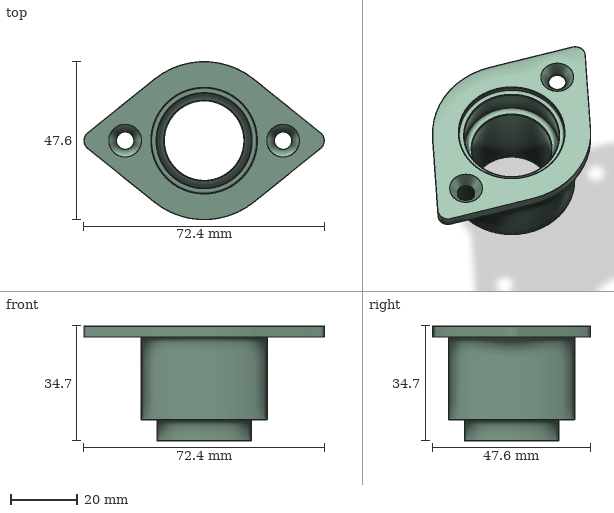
import cadquery as cq
import math

flange_length = 72.4
flange_width = 47.6
flange_thickness = 3.3
tip_radius = 3.05

total_height = 34.7
body_diameter = 38.1
spigot_diameter = 28.5
spigot_length = 6.4

recess_diameter = 31.7
recess_depth = 1.7
main_bore_diameter = 28.5
main_bore_depth = 9.5
through_bore_diameter = 23.95

hole_spacing = 47.55
hole_diameter = 5.2
countersink_diameter = 9.85
countersink_angle = 80.0

edge_chamfer = 0.2

flange_bottom = -flange_thickness
spigot_top = spigot_length - total_height


def cylinder(diameter, bottom, top):
    """Vertical cylinder about the Z axis between two heights."""
    return cq.Workplane("XY").workplane(offset=bottom).circle(diameter / 2).extrude(top - bottom)


def make_flange():
    """Outline of the central arc, the tip arcs and their common tangents."""
    disc_radius = flange_width / 2
    end_x = flange_length / 2
    tip_center_x = end_x - tip_radius
    tangent_angle = math.acos((disc_radius - tip_radius) / tip_center_x)
    tangent_cos = math.cos(tangent_angle)
    tangent_sin = math.sin(tangent_angle)
    disc_x = disc_radius * tangent_cos
    disc_y = disc_radius * tangent_sin
    tip_x = tip_center_x + tip_radius * tangent_cos
    tip_y = tip_radius * tangent_sin
    return (
        cq.Workplane("XY")
        .workplane(offset=flange_bottom)
        .moveTo(disc_x, disc_y)
        .threePointArc((0, disc_radius), (-disc_x, disc_y))
        .lineTo(-tip_x, tip_y)
        .threePointArc((-end_x, 0), (-tip_x, -tip_y))
        .lineTo(-disc_x, -disc_y)
        .threePointArc((0, -disc_radius), (disc_x, -disc_y))
        .lineTo(tip_x, -tip_y)
        .threePointArc((end_x, 0), (tip_x, tip_y))
        .close()
        .extrude(flange_thickness)
    )


def make_housing():
    """Body and spigot with their lower outer edges chamfered."""
    body = cylinder(body_diameter, spigot_top, flange_bottom).faces("<Z").chamfer(edge_chamfer)
    spigot = cylinder(spigot_diameter, -total_height, spigot_top).faces("<Z").chamfer(edge_chamfer)
    return body.union(spigot)


def bore_cutter(diameter, bottom, top):
    """Bore whose upper mouth is widened by a small chamfer."""
    mouth = (
        cq.Workplane("XY")
        .workplane(offset=top)
        .circle(diameter / 2 + edge_chamfer)
        .extrude(-edge_chamfer, taper=45)
    )
    return cylinder(diameter, bottom, top).union(mouth)


part = make_flange().union(make_housing())

for bore_diameter, bore_bottom, bore_top in (
    (recess_diameter, -recess_depth, 0),
    (main_bore_diameter, -main_bore_depth, -recess_depth),
    (through_bore_diameter, -total_height, -main_bore_depth),
):
    part = part.cut(bore_cutter(bore_diameter, bore_bottom, bore_top))

result = (
    part.faces(">Z")
    .workplane(origin=(0, 0, 0))
    .pushPoints([(-hole_spacing / 2, 0), (hole_spacing / 2, 0)])
    .cskHole(hole_diameter, countersink_diameter, countersink_angle, depth=flange_thickness)
)